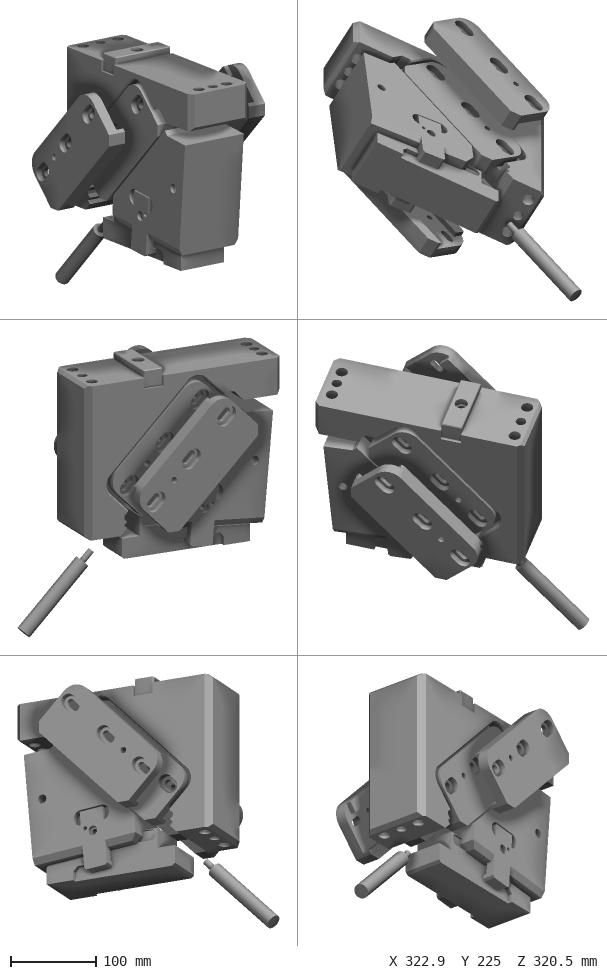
import cadquery as cq
import math


HALF_WIDTH = 42.3
SLIDE_TILT = math.radians(5)
PIVOT_X = 151.7
PIVOT_Z = 30.0
FAR = 323.0
DRILL_TIP_HALF_ANGLE = math.radians(59)

HOUSING_LENGTH = 255.0
HOUSING_TOP = 224.7
HOUSING_BOTTOM = 35.0
ARM_BOTTOM = 179.2
SLOPE_W = 6.8
BACK_CHAMFER = 7.5
TOP_CHAMFER = 4.0
BOTTOM_CHAMFER = 5.0
NOSE_CHAMFER = 6.0
MOUNT_HOLE_RADIUS = 7.0
DOWEL_HOLE_RADIUS = 6.0
BACK_HOLE_X = 15.2
BACK_HOLE_Y = 25.2
NOSE_HOLE_X = 240.2
NOSE_HOLE_Y = 20.0
FOOT_FRONT = 44.2
TOOTH_TIP_X = 53.0
TOOTH_ROOT_X = 49.0
UPPER_ROOT_Z = 59.0
STUB_START_U = 74.3
STUB_END_U = 97.0
STUB_W = 6.5
STUB_RADIUS = 5.2
RELIEF_CEILING = 191.8

PLATE_U_MIN = 90.5
PLATE_U_MAX = 255.5
PLATE_W_MIN = -21.5
PLATE_W_MAX = 54.0
PLATE_CHAMFER = 10.0
PLATE_CORNER_RADIUS = 20.5
PLATE_WEB = 13.2
UPPER_FLANGE_DEPTH = 19.5
LOWER_FLANGE_DEPTH = 23.0
FLANGE_HEIGHT = 15.0
FLANGE_END_GAP = 15.0
FREE_PLATE_FACE = 225.0 / 2
SLOT_PITCH = 65.2
SLOT_W = 28.5
SLOT_U = 172.5
SLOT_TRAVEL = 10.0
SLOT_COUNTERBORE_WIDTH = 17.5
SLOT_WIDTH = 9.0
SLOT_COUNTERBORE_DEPTH = 7.7
SLOT_CENTRES = [(SLOT_U + step * SLOT_PITCH, SLOT_W) for step in (-1, 0, 1)]
JACK_HOLE_U = 140.0
JACK_HOLE_RADIUS = 4.0
PLATE_SCREW_RADIUS = 3.2
PLATE_SCREW_DEPTH = 13.0

RECESS_U_MIN = 84.5
RECESS_U_MAX = 260.5
RECESS_W_MAX = 56.0
RECESS_RADIUS = 16.0
RECESS_RIM = 1.5

KEY_X = 88.0
KEY_WIDTH = 25.0
KEY_BOTTOM = 211.5
KEY_TOP = 233.5
KEY_HALF_LENGTH = 39.7
KEY_EDGE = 1.0
KEY_SCREW_HEAD_RADIUS = 7.7
KEY_SCREW_HEAD_DEPTH = 8.0
KEY_SCREW_RADIUS = 4.5
KEY_SCREW_DEPTH = 14.5

SLIDE_BACK = -55.0
SLIDE_FRONT = 80.5
SLIDE_HEIGHT = 138.2
SLIDE_CHAMFER_HEIGHT = 7.7
SLIDE_CHAMFER_INSET = 4.5
SLIDE_FACE_W = -24.0
SLIDE_END_U = 263.0

TONGUE_HALF_WIDTH = 15.0
TONGUE_TOP_GAP = 2.0
TONGUE_BOTTOM = -23.0
TONGUE_INNER_Y = 31.5
HOOK_INNER_Y = 27.0
HOOK_TOP = -15.2
TONGUE_CHAMFER = 2.5
RELIEF_RADIUS = 9.7
RELIEF_OFFSET = 13.5
RELIEF_B = 42.5
TONGUE_SCREW_B = 23.2
TONGUE_SCREW_HEAD_RADIUS = 5.8
TONGUE_SCREW_HEAD_DEPTH = 5.0
TONGUE_SCREW_RADIUS = 3.2
TONGUE_SCREW_DEPTH = 13.0
TONGUE_PIN_A = 9.7
TONGUE_PIN_B = 28.0
TONGUE_PIN_RADIUS = 2.5
TONGUE_PIN_DEPTH = 6.5
LIFTING_HOLE_A = 61.7
LIFTING_HOLE_B = 78.0
LIFTING_HOLE_RADIUS = 5.5
LIFTING_HOLE_DEPTH = 19.5
RAIL_HALF_WIDTH = HALF_WIDTH - PLATE_WEB
GROOVE_HALF_WIDTH = HALF_WIDTH - LOWER_FLANGE_DEPTH

BASE_BACK = 55.0
BASE_FRONT = 219.5
BASE_STEP_X = 77.5
BASE_STEP_Z = 25.2
BASE_HALF_WIDTH = 25.2
STOP_TOP_Z = 50.0
BASE_CHAMFER = 3.2
LEDGE_HALF_WIDTH = 31.0
LEDGE_START = -11.3
LEDGE_CHAMFER = 3.2
UNDERCUT_X = 185.0
UNDERCUT_Z = 16.5
UNDERCUT_CHAMFER = 5.8
POCKET_START_X = 80.0
POCKET_Z = 42.5
POCKET_HEIGHT = 13.5
POCKET_DEPTH = 3.2

ROD_W = -13.5
ROD_RADIUS = 9.0
TIP_RADIUS = 4.0
ROD_START_U = -100.5
ROD_SHOULDER_U = 7.7
ROD_END_U = 24.5
HOUSING_STOP_U = 271.8


def slope_plane(y):
    """Plane at the given Y with local axes u and w, facing -Y."""
    return cq.Workplane(cq.Plane(origin=(0, y, 0), xDir=(1, 0, 1), normal=(0, -1, 0)))


def tilted_plane(y):
    """Plane at the given Y with local axes a and b, facing -Y."""
    x_direction = (math.cos(SLIDE_TILT), 0, -math.sin(SLIDE_TILT))
    return cq.Workplane(cq.Plane(origin=(PIVOT_X, y, PIVOT_Z), xDir=x_direction, normal=(0, -1, 0)))


def end_plane(a):
    """Plane square to the slide's length at a given a, with local axes Y and b."""
    x, z = tilted_point(a, 0)
    return cq.Workplane(cq.Plane(
        origin=(x, 0, z), xDir=(0, 1, 0), normal=(math.cos(SLIDE_TILT), 0, -math.sin(SLIDE_TILT))))


def box_in(plane, low, high, depth):
    """Block between two corners of a plane, extruded towards -Y."""
    size = (high[0] - low[0], high[1] - low[1])
    middle = ((high[0] + low[0]) / 2, (high[1] + low[1]) / 2)
    return plane.center(*middle).rect(*size).extrude(depth)


def slope_cylinder(u_start, u_end, w, radius):
    """Cylinder on Y = 0 along the sliding direction."""
    start = ((u_start - w) / math.sqrt(2), 0, (u_start + w) / math.sqrt(2))
    plane = cq.Plane(origin=start, xDir=(0, 1, 0), normal=(1, 0, 1))
    return cq.Workplane(plane).circle(radius).extrude(u_end - u_start)


def slope_height(x):
    """Z of the sliding face at a given X."""
    return x + SLOPE_W * math.sqrt(2)


def drilled_hole(plane, points, radius, depth):
    """Blind holes with conical tips, cut against the plane's normal."""
    holes = plane.pushPoints(points).circle(radius).extrude(-depth)
    tip_height = radius / math.tan(DRILL_TIP_HALF_ANGLE)
    into_part = plane.plane.zDir * -1
    for point in points:
        tip_base = plane.plane.toWorldCoords(point) + into_part * depth
        tip = cq.Solid.makeCone(radius, 0, tip_height, tip_base, into_part)
        holes = holes.union(cq.Workplane(tip))
    return holes


def tilted_point(a, b):
    """(X, Z) of a point given in the slide frame."""
    x = PIVOT_X + a * math.cos(SLIDE_TILT) + b * math.sin(SLIDE_TILT)
    z = PIVOT_Z - a * math.sin(SLIDE_TILT) + b * math.cos(SLIDE_TILT)
    return (x, z)


def base_height(x):
    """Z of the tilted face between base and slide at a given X."""
    return PIVOT_Z - (x - PIVOT_X) * math.tan(SLIDE_TILT)


def slab(points, half_width):
    """Outline in X and Z extruded to both sides of Y = 0."""
    return cq.Workplane("XZ").polyline(points).close().extrude(half_width, both=True)


def add_both_sides(body, feature):
    return body.union(feature).union(feature.mirror("XZ"))


def cut_both_sides(body, feature):
    return body.cut(feature).cut(feature.mirror("XZ"))


def make_plate(outer_y):
    """Side plate on the -Y side whose outer face lies at Y = -outer_y."""
    web_plane = slope_plane(PLATE_WEB - outer_y)
    plate = box_in(web_plane, (PLATE_U_MIN, PLATE_W_MIN), (PLATE_U_MAX, PLATE_W_MAX), PLATE_WEB)
    lower_flange = box_in(
        slope_plane(LOWER_FLANGE_DEPTH - outer_y),
        (PLATE_U_MIN, PLATE_W_MIN),
        (PLATE_U_MAX, PLATE_W_MIN + FLANGE_HEIGHT),
        LOWER_FLANGE_DEPTH,
    )
    upper_flange = box_in(
        slope_plane(UPPER_FLANGE_DEPTH - outer_y),
        (PLATE_U_MIN + FLANGE_END_GAP, PLATE_W_MAX - FLANGE_HEIGHT),
        (PLATE_U_MAX - FLANGE_END_GAP, PLATE_W_MAX),
        UPPER_FLANGE_DEPTH,
    )
    plate = plate.union(lower_flange).union(upper_flange)

    outline = box_in(
        slope_plane(LOWER_FLANGE_DEPTH - outer_y),
        (PLATE_U_MIN, PLATE_W_MIN),
        (PLATE_U_MAX, PLATE_W_MAX),
        LOWER_FLANGE_DEPTH,
    )
    outline = outline.edges("|Y").edges("<(-1, 0, 1)")
    outline = outline.chamfer(PLATE_CHAMFER)
    outline = outline.edges("|Y").edges(">(-1, 0, 1)")
    outline = outline.fillet(PLATE_CORNER_RADIUS)
    plate = plate.intersect(outline)

    face = slope_plane(-outer_y)
    counterbores = face.pushPoints(SLOT_CENTRES).slot2D(
        SLOT_TRAVEL + SLOT_COUNTERBORE_WIDTH, SLOT_COUNTERBORE_WIDTH).extrude(-SLOT_COUNTERBORE_DEPTH)
    slots = face.pushPoints(SLOT_CENTRES).slot2D(SLOT_TRAVEL + SLOT_WIDTH, SLOT_WIDTH).extrude(-PLATE_WEB)
    jack_hole = face.center(JACK_HOLE_U, SLOT_W).circle(JACK_HOLE_RADIUS).extrude(-PLATE_WEB)
    return plate.cut(counterbores).cut(slots).cut(jack_hole)


def make_recess():
    """Cutter for the -Y recess around a fitted plate, flared at the rim."""
    recess = box_in(
        slope_plane(-RAIL_HALF_WIDTH), (RECESS_U_MIN, -FAR), (RECESS_U_MAX, RECESS_W_MAX), PLATE_WEB)
    recess = recess.edges("|Y").edges(">(-1, 0, 1)").fillet(RECESS_RADIUS)
    rim = box_in(
        slope_plane(RECESS_RIM - HALF_WIDTH),
        (RECESS_U_MIN - RECESS_RIM, -FAR),
        (RECESS_U_MAX + RECESS_RIM, RECESS_W_MAX + RECESS_RIM),
        2 * RECESS_RIM,
    )
    rim = rim.edges("|Y").edges(">(-1, 0, 1)").fillet(RECESS_RADIUS + RECESS_RIM)
    rim = rim.faces(">Y").edges().chamfer(RECESS_RIM)
    return recess.union(rim)


def make_housing():
    tooth = TOOTH_TIP_X - TOOTH_ROOT_X
    foot_tip_z = HOUSING_BOTTOM + TOOTH_TIP_X - FOOT_FRONT
    stop_sum = HOUSING_STOP_U * math.sqrt(2)
    slope_start_x = (TOOTH_ROOT_X + UPPER_ROOT_Z) / 2
    outline = [
        (0, HOUSING_BOTTOM),
        (FOOT_FRONT, HOUSING_BOTTOM),
        (TOOTH_TIP_X, foot_tip_z),
        (TOOTH_ROOT_X, foot_tip_z + tooth),
        (TOOTH_TIP_X, foot_tip_z + 2 * tooth),
        (TOOTH_ROOT_X, foot_tip_z + 3 * tooth),
        (TOOTH_ROOT_X, UPPER_ROOT_Z),
        (slope_start_x, slope_height(slope_start_x)),
        (RELIEF_CEILING - SLOPE_W * math.sqrt(2), RELIEF_CEILING),
        (stop_sum - RELIEF_CEILING, RELIEF_CEILING),
        (stop_sum - ARM_BOTTOM, ARM_BOTTOM),
        (HOUSING_LENGTH, ARM_BOTTOM),
        (HOUSING_LENGTH, HOUSING_TOP),
        (0, HOUSING_TOP),
    ]
    housing = slab(outline, HALF_WIDTH)
    housing = housing.faces("<X").edges("|Z").chamfer(BACK_CHAMFER)
    housing = housing.faces("<X").edges(">Z").chamfer(TOP_CHAMFER)
    housing = housing.faces("<X").edges("<Z").chamfer(BOTTOM_CHAMFER)
    housing = housing.faces(">X").edges("|Z").chamfer(NOSE_CHAMFER)
    housing = housing.faces(">X").edges("<Z").chamfer(BOTTOM_CHAMFER)

    for hole_x, hole_y in ((BACK_HOLE_X, BACK_HOLE_Y), (NOSE_HOLE_X, NOSE_HOLE_Y)):
        top = cq.Workplane("XY", origin=(hole_x, 0, HOUSING_TOP))
        mount_points = [(0, -hole_y), (0, hole_y)]
        housing = housing.cut(top.pushPoints(mount_points).circle(MOUNT_HOLE_RADIUS).extrude(-FAR))
        housing = housing.cut(top.circle(DOWEL_HOLE_RADIUS).extrude(-FAR))

    key_groove = cq.Workplane("XY", origin=(KEY_X, 0, KEY_BOTTOM)).rect(KEY_WIDTH, FAR).extrude(FAR)
    housing = housing.cut(key_groove)

    housing = cut_both_sides(housing, make_recess())
    housing = add_both_sides(housing, make_plate(HALF_WIDTH))
    screw_holes = drilled_hole(
        slope_plane(-RAIL_HALF_WIDTH), SLOT_CENTRES, PLATE_SCREW_RADIUS, PLATE_SCREW_DEPTH)
    housing = cut_both_sides(housing, screw_holes)

    stub = slope_cylinder(STUB_START_U, STUB_END_U, STUB_W, STUB_RADIUS)
    return housing.union(stub)


def make_key():
    key = cq.Workplane("XY", origin=(KEY_X, 0, KEY_BOTTOM)).rect(KEY_WIDTH, 2 * KEY_HALF_LENGTH).extrude(
        KEY_TOP - KEY_BOTTOM)
    key = key.faces("<Y or >Y or >Z").edges().chamfer(KEY_EDGE)
    top = cq.Workplane("XY", origin=(KEY_X, 0, KEY_TOP))
    screw_head = top.circle(KEY_SCREW_HEAD_RADIUS).extrude(-KEY_SCREW_HEAD_DEPTH)
    return key.cut(screw_head).cut(drilled_hole(top, [(0, 0)], KEY_SCREW_RADIUS, KEY_SCREW_DEPTH))


def make_slide():
    slide = box_in(
        tilted_plane(HALF_WIDTH), (SLIDE_BACK, 0), (SLIDE_FRONT, SLIDE_HEIGHT), 2 * HALF_WIDTH)
    corner = [(-HALF_WIDTH, 0), (SLIDE_CHAMFER_INSET - HALF_WIDTH, 0), (-HALF_WIDTH, SLIDE_CHAMFER_HEIGHT)]
    side_chamfer = end_plane(SLIDE_BACK).polyline(corner).close().extrude(FAR)
    slide = cut_both_sides(slide, side_chamfer)
    slide = slide.faces("<Z").edges("<X").chamfer(SLIDE_CHAMFER_HEIGHT)

    head = box_in(
        tilted_plane(HALF_WIDTH), (SLIDE_BACK, SLIDE_HEIGHT / 2), (SLIDE_FRONT, FAR), 2 * HALF_WIDTH)
    head = head.intersect(box_in(slope_plane(HALF_WIDTH), (-FAR, -FAR), (SLIDE_END_U, FAR), 2 * HALF_WIDTH))
    slide = slide.union(head)

    slide = slide.cut(box_in(slope_plane(HALF_WIDTH), (-FAR, SLOPE_W), (FAR, FAR), 2 * HALF_WIDTH))

    side_cut = box_in(slope_plane(-RAIL_HALF_WIDTH), (-FAR, SLIDE_FACE_W), (FAR, FAR), PLATE_WEB)
    groove = box_in(
        slope_plane(-GROOVE_HALF_WIDTH),
        (-FAR, SLIDE_FACE_W),
        (FAR, PLATE_W_MIN + FLANGE_HEIGHT),
        LOWER_FLANGE_DEPTH,
    )
    slide = cut_both_sides(slide, side_cut.union(groove))

    tongue_thickness = HALF_WIDTH - TONGUE_INNER_Y
    relief_points = [(-RELIEF_OFFSET, RELIEF_B), (RELIEF_OFFSET, RELIEF_B)]
    reliefs = tilted_plane(-TONGUE_INNER_Y).pushPoints(relief_points).circle(RELIEF_RADIUS).extrude(
        tongue_thickness)
    tongue_top = RELIEF_B + RELIEF_RADIUS - TONGUE_TOP_GAP
    top_gap = box_in(
        tilted_plane(-TONGUE_INNER_Y),
        (-RELIEF_OFFSET, tongue_top),
        (RELIEF_OFFSET, RELIEF_B + RELIEF_RADIUS),
        tongue_thickness,
    )
    slide = cut_both_sides(slide, reliefs.union(top_gap))
    tongue = box_in(
        tilted_plane(-TONGUE_INNER_Y),
        (-TONGUE_HALF_WIDTH, HOOK_TOP),
        (TONGUE_HALF_WIDTH, tongue_top),
        tongue_thickness,
    )
    hook = box_in(
        tilted_plane(-HOOK_INNER_Y),
        (-TONGUE_HALF_WIDTH, TONGUE_BOTTOM),
        (TONGUE_HALF_WIDTH, HOOK_TOP),
        HALF_WIDTH - HOOK_INNER_Y,
    )
    hook = hook.faces("<Z").edges("|Y").chamfer(TONGUE_CHAMFER)
    slide = add_both_sides(slide, tongue.union(hook))

    face = tilted_plane(-HALF_WIDTH)
    screw_point = (0, TONGUE_SCREW_B)
    screw_head = face.center(*screw_point).circle(TONGUE_SCREW_HEAD_RADIUS).extrude(-TONGUE_SCREW_HEAD_DEPTH)
    screw = drilled_hole(face, [screw_point], TONGUE_SCREW_RADIUS, TONGUE_SCREW_DEPTH)
    pin = drilled_hole(face, [(TONGUE_PIN_A, TONGUE_PIN_B)], TONGUE_PIN_RADIUS, TONGUE_PIN_DEPTH)
    lifting_point = (LIFTING_HOLE_A, LIFTING_HOLE_B)
    lifting_hole = drilled_hole(face, [lifting_point], LIFTING_HOLE_RADIUS, LIFTING_HOLE_DEPTH)
    slide = cut_both_sides(slide, screw_head.union(screw).union(pin).union(lifting_hole))

    return slide.union(slope_cylinder(SLIDE_END_U - ROD_RADIUS, HOUSING_STOP_U, ROD_W, TIP_RADIUS))


def make_base():
    stop_front = tilted_point(SLIDE_BACK, SLIDE_CHAMFER_HEIGHT)
    slope = math.tan(SLIDE_TILT)
    stop_rise = STOP_TOP_Z - stop_front[1]
    outline = [
        (BASE_BACK, 0),
        (BASE_FRONT, 0),
        (BASE_FRONT, base_height(BASE_FRONT)),
        tilted_point(SLIDE_BACK + SLIDE_CHAMFER_HEIGHT, 0),
        stop_front,
        (stop_front[0] + stop_rise * slope, STOP_TOP_Z),
        (BASE_STEP_X, STOP_TOP_Z),
        (BASE_STEP_X, BASE_STEP_Z),
        (BASE_BACK, BASE_STEP_Z),
    ]
    base = slab(outline, BASE_HALF_WIDTH)
    base = base.faces("<X").edges("<Z").chamfer(BASE_CHAMFER)

    ledge_top = tilted_point(LEDGE_START, 0)
    ledge_bottom_x = ledge_top[0] - (ledge_top[1] - UNDERCUT_Z) * slope
    ledge = slab(
        [
            ledge_top,
            (ledge_bottom_x, UNDERCUT_Z),
            (UNDERCUT_X - UNDERCUT_CHAMFER, UNDERCUT_Z),
            (UNDERCUT_X, UNDERCUT_Z - UNDERCUT_CHAMFER),
            (UNDERCUT_X, 0),
            (BASE_FRONT, 0),
            (BASE_FRONT, base_height(BASE_FRONT)),
        ],
        LEDGE_HALF_WIDTH,
    )
    ledge = ledge.faces(">Z").edges(">Y or <Y").chamfer(LEDGE_CHAMFER)
    base = base.union(ledge)

    pocket_length = 2 * (stop_front[0] - POCKET_START_X)
    pocket = cq.Workplane("XZ", origin=(stop_front[0], POCKET_DEPTH - BASE_HALF_WIDTH, POCKET_Z)).slot2D(
        pocket_length, POCKET_HEIGHT).extrude(POCKET_DEPTH)
    return cut_both_sides(base, pocket)


def make_rod():
    body = slope_cylinder(ROD_START_U, ROD_SHOULDER_U, ROD_W, ROD_RADIUS)
    return body.union(slope_cylinder(ROD_SHOULDER_U, ROD_END_U, ROD_W, TIP_RADIUS))


housing = make_housing()
key = make_key()
slide = make_slide()
base = make_base()
rod = make_rod()
near_plate = make_plate(FREE_PLATE_FACE)
free_plates = [near_plate, near_plate.mirror("XZ")]

bodies = [housing, key, slide, base, rod, *free_plates]
result = cq.Compound.makeCompound([body.solids().val() for body in bodies])